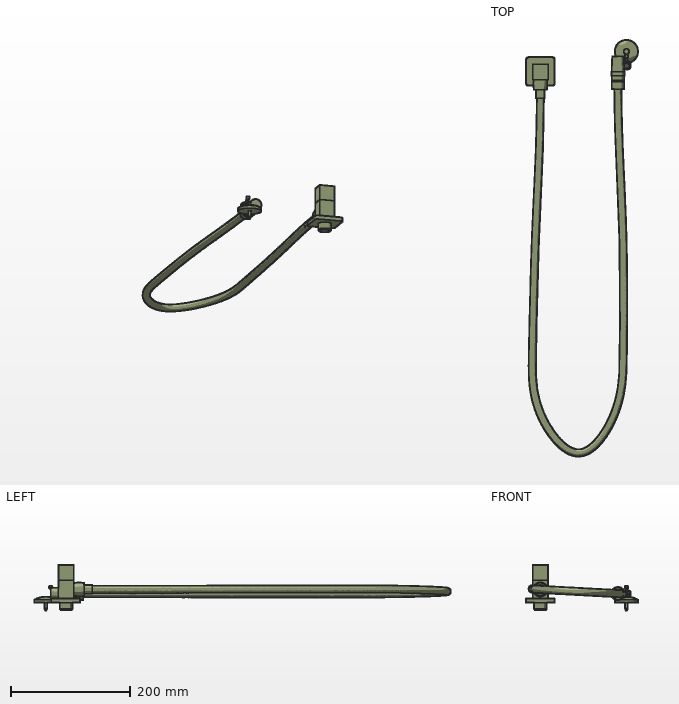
import cadquery as cq
import math


total_width = 188.11
total_length = 698.46
total_height = 76.99

block_side = 25.8
plate_side = 48.5
plate_thickness = 7.0
plate_corner_radius = 4.5
plate_offset_y = 0.8
plate_bevel = 0.8
plug_diameter = 22.0
plug_length = 12.5
plug_chamfer = 2.0
cap_height = 25.5
block_top = 63.29
cap_bottom = block_top - cap_height

gland_height = 22.0
gland_diameter = 24.0
gland_end_diameter = 22.0
collar_diameter = 15.0
gland_start = -block_side / 2
gland_end = -30.0
collar_end = -44.0

dome_radius = 19.6
dome_x = total_width - plate_side / 2 - dome_radius
dome_y = 34.2
dome_rim_height = 4.5
dome_height = 10.0
barrel_x = 130.0
barrel_height = 15.0
barrel_front_diameter = 19.5
barrel_rear_diameter = 21.5
barrel_front = 26.0
barrel_rear = 0.5

nut_diameter = 21.5
nut_flange_diameter = 22.3
nut_flange_end = -6.0
nut_groove_diameter = 19.5
nut_groove_front = -14.0
nut_groove_width = 2.5
nut_end = -29.0

cable_diameter = 12.5
loop_bottom = dome_y + dome_radius - total_length + cable_diameter / 2
loop_x = 65.0
leg_y = -270.0
left_leg_x = -7.8
right_leg_x = 138.2
bulge_y = -472.0
left_bulge_x = -13.3
right_bulge_x = 139.0
shoulder_y = -574.0
left_shoulder_x = 0.6
right_shoulder_x = 123.7

pin_diameter = 5.0
pin_bottom = block_top - total_height
pin_tip_length = 4.0
pin_tip_diameter = 1.5
pin_head_diameter = 9.0
pin_head_depth = 2.5

paddle_radius = 7.5
paddle_thickness = 4.0
paddle_rim = 2.0
paddle_recess = 1.0
paddle_y = 11.0
paddle_height = 15.0
stem_diameter = 4.0
ball_diameter = 6.0
ball_y = 26.0
ball_height = 25.5


def cylinder_along_y(x, z, diameter, y_front, y_rear):
    """Cylinder from y_front towards -Y, ending at y_rear."""
    plane = cq.Plane(origin=(x, y_front, z), xDir=(1, 0, 0), normal=(0, -1, 0))
    return cq.Workplane(plane).circle(diameter / 2).extrude(y_front - y_rear)


def make_housing():
    plate = cq.Workplane("XY").rect(plate_side, plate_side).extrude(plate_thickness)
    plate = plate.edges("|Z").fillet(plate_corner_radius).faces(">Z").chamfer(plate_bevel)
    plate = plate.translate((0, plate_offset_y, 0))
    block = cq.Workplane("XY").rect(block_side, block_side).extrude(cap_bottom)
    plug = cq.Workplane("XY").circle(plug_diameter / 2).extrude(-plug_length)
    plug = plug.faces("<Z").chamfer(plug_chamfer)
    return plate.union(block).union(plug)


def make_cap():
    return cq.Workplane("XY").workplane(offset=cap_bottom).rect(block_side, block_side).extrude(cap_height)


def make_gland():
    length = gland_start - gland_end
    end_radius = gland_end_diameter / 2
    body = (
        cq.Workplane("XY")
        .moveTo(0, gland_end)
        .lineTo(end_radius, gland_end)
        .threePointArc((gland_diameter / 2, gland_end + length / 2), (end_radius, gland_start))
        .lineTo(0, gland_start)
        .close()
        .revolve(360, (0, 0, 0), (0, 1, 0))
        .translate((0, 0, gland_height))
    )
    return body.union(cylinder_along_y(0, gland_height, collar_diameter, gland_end, collar_end))


def make_head():
    rim = (dome_radius, dome_rim_height)
    apex = (0, dome_height)
    dome_rise = dome_height - dome_rim_height
    sphere_radius = (dome_radius**2 + dome_rise**2) / (2 * dome_rise)
    half_angle = math.asin(dome_radius / sphere_radius) / 2
    middle = (
        sphere_radius * math.sin(half_angle),
        dome_height - sphere_radius * (1 - math.cos(half_angle)),
    )
    dome = (
        cq.Workplane("XZ")
        .lineTo(dome_radius, 0)
        .lineTo(*rim)
        .threePointArc(middle, apex)
        .close()
        .revolve(360, (0, 0, 0), (0, 1, 0))
        .translate((dome_x, dome_y, 0))
    )
    barrel_plane = cq.Plane(origin=(barrel_x, barrel_front, barrel_height), xDir=(1, 0, 0), normal=(0, -1, 0))
    barrel = (
        cq.Workplane(barrel_plane)
        .circle(barrel_front_diameter / 2)
        .workplane(offset=barrel_front - barrel_rear)
        .circle(barrel_rear_diameter / 2)
        .loft()
    )
    return dome.union(barrel)


def make_nut():
    groove_rear = nut_groove_front - nut_groove_width
    flange = cylinder_along_y(barrel_x, barrel_height, nut_flange_diameter, barrel_rear, nut_flange_end)
    front = cylinder_along_y(barrel_x, barrel_height, nut_diameter, nut_flange_end, nut_groove_front)
    groove = cylinder_along_y(barrel_x, barrel_height, nut_groove_diameter, nut_groove_front, groove_rear)
    rear = cylinder_along_y(barrel_x, barrel_height, nut_diameter, groove_rear, nut_end)
    return flange.union(front).union(groove).union(rear)


def make_cable():
    slope = (barrel_height - gland_height) / barrel_x
    outline = [
        (0, collar_end),
        (left_leg_x, leg_y),
        (left_bulge_x, bulge_y),
        (left_shoulder_x, shoulder_y),
        (loop_x, loop_bottom),
        (right_shoulder_x, shoulder_y),
        (right_bulge_x, bulge_y),
        (right_leg_x, leg_y),
        (barrel_x, nut_end),
    ]
    points = [(x, y, gland_height + slope * x) for x, y in outline]
    path = cq.Workplane("XY").spline(points, tangents=[(0, -1, 0), (0, 1, 0)])
    start = cq.Plane(origin=points[0], xDir=(1, 0, 0), normal=(0, -1, 0))
    return cq.Workplane(start).circle(cable_diameter / 2).sweep(path)


def make_pin():
    pin_radius = pin_diameter / 2
    head_radius = pin_head_diameter / 2
    shoulder = pin_bottom + pin_tip_length
    head_bottom = dome_height - pin_head_depth
    outline = [
        (0, pin_bottom),
        (pin_tip_diameter / 2, pin_bottom),
        (pin_radius, shoulder),
        (pin_radius, head_bottom),
        (head_radius, head_bottom),
        (head_radius, dome_height),
        (0, dome_height),
    ]
    pin = cq.Workplane("XZ").polyline(outline).close().revolve(360, (0, 0, 0), (0, 1, 0))
    return pin.translate((dome_x, dome_y, 0))


def make_clip():
    rise = ball_height - paddle_height
    run = ball_y - paddle_y
    centre = (dome_x, paddle_y, paddle_height)
    paddle_plane = cq.Plane(origin=centre, xDir=(1, 0, 0), normal=(0, -rise, run))
    paddle = cq.Workplane(paddle_plane).circle(paddle_radius).extrude(paddle_thickness / 2, both=True)
    recess = (
        cq.Workplane(paddle_plane)
        .workplane(offset=paddle_thickness / 2 - paddle_recess)
        .circle(paddle_radius - paddle_rim)
        .extrude(paddle_recess)
    )
    ball_centre = (dome_x, ball_y, ball_height)
    stem_plane = cq.Plane(origin=ball_centre, xDir=(1, 0, 0), normal=(0, -run, -rise))
    stem_length = math.hypot(rise, run) - paddle_radius + paddle_rim
    stem = cq.Workplane(stem_plane).circle(stem_diameter / 2).extrude(stem_length)
    ball = cq.Workplane("XY").sphere(ball_diameter / 2).translate(ball_centre)
    return paddle.cut(recess).union(stem).union(ball)


housing = make_housing()
cap = make_cap()
gland = make_gland()
cable = make_cable()
nut = make_nut()
pin = make_pin()
head = make_head().cut(pin)
clip = make_clip().cut(head)

result = cq.Compound.makeCompound(
    [
        housing.val(),
        cap.val(),
        gland.val(),
        cable.val(),
        nut.val(),
        head.val(),
        pin.val(),
        clip.val(),
    ]
)